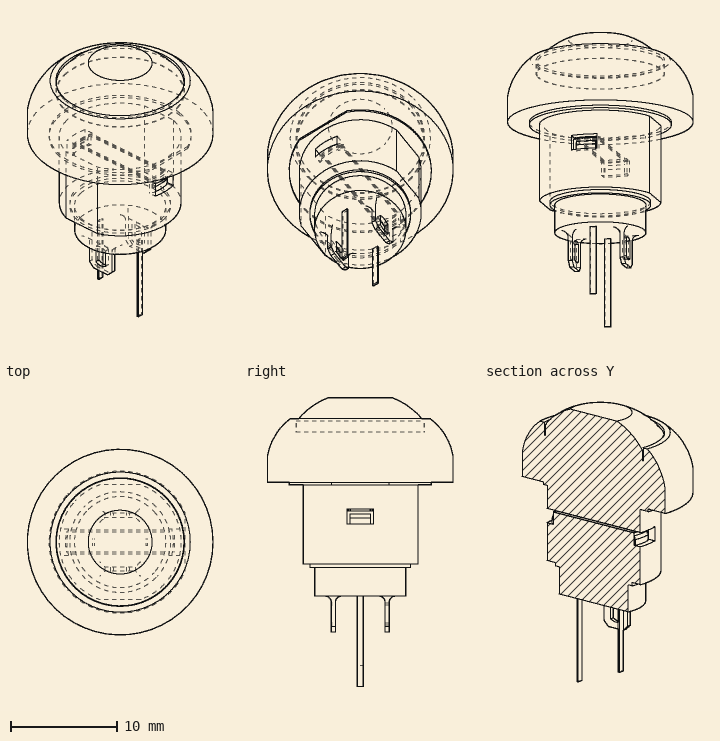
import cadquery as cq

long_pin_end_z = 0.0
short_pin_end_z = 2.0
lug_end_z = 5.15
lug_hole_z = 6.83
base_bottom_z = 8.52
step_bottom_z = 11.2
barrel_bottom_z = 11.55
gasket_bottom_z = 19.0
hood_bottom_z = 19.25
hood_shoulder_z = 21.7
hood_top_z = 25.22
button_top_z = 27.2

base_diameter = 8.6
step_diameter = 9.5
barrel_diameter = 11.48
gasket_diameter = 13.4
hood_diameter = 17.5
front_flat_y = -5.4
back_flat_y = 5.45
gasket_flat_x = 6.12

hood_rim_diameter = 13.2
hood_mid_radius = 8.05
hood_mid_z = 23.6
bore_diameter = 12.1
button_diameter = 12.0
button_flat_diameter = 6.0
button_mid_radius = 4.65
button_mid_z = 26.3
button_edge_z = 24.98
bore_floor_z = 23.95

window_width = 2.5
window_bottom_z = 15.32
window_top_z = 16.7
sleeve_diameter = 10.0
sleeve_top_z = 16.55
core_diameter = 9.5
latch_width = 1.9
latch_diameter = 10.29
latch_edge_z = 15.9
latch_top_z = 16.25
slit_width = 0.15

pin_offset_x = 2.5
pin_thickness = 0.15
pin_width = 0.6
lug_offset_y = 2.53
lug_width = 2.88
lug_thickness = 0.4
lug_chamfer_width = 0.55
lug_chamfer_height = 0.52
lug_hole_diameter = 2.1
lug_hole_width = 1.22
lug_fillet = 0.57
joint_margin = 0.03


def disc(diameter, bottom_z, top_z):
    """Solid cylinder on the Z axis."""
    return cq.Workplane("XY").workplane(offset=bottom_z).circle(diameter / 2).extrude(top_z - bottom_z)


def block(x_range, y_range, z_range):
    """Box spanning the given ranges."""
    ranges = (x_range, y_range, z_range)
    sizes = [high - low for low, high in ranges]
    middles = [(high + low) / 2 for low, high in ranges]
    return cq.Workplane("XY").box(*sizes).translate(tuple(middles))


def centred(width, middle=0.0):
    """Range of the given width about a middle value."""
    return (middle - width / 2, middle + width / 2)


def make_hood():
    """Domed hood with a bore that leaves a narrow gap around the button."""
    hood = (
        cq.Workplane("XZ")
        .moveTo(0, hood_bottom_z)
        .lineTo(hood_diameter / 2, hood_bottom_z)
        .lineTo(hood_diameter / 2, hood_shoulder_z)
        .threePointArc((hood_mid_radius, hood_mid_z), (hood_rim_diameter / 2, hood_top_z))
        .lineTo(0, hood_top_z)
        .close()
        .revolve(360, (0, 0, 0), (0, 1, 0))
    )
    return hood.cut(disc(bore_diameter, bore_floor_z, hood_top_z))


def make_button():
    """Domed push button with a flat top."""
    return (
        cq.Workplane("XZ")
        .moveTo(0, bore_floor_z)
        .lineTo(button_diameter / 2, bore_floor_z)
        .lineTo(button_diameter / 2, button_edge_z)
        .threePointArc((button_mid_radius, button_mid_z), (button_flat_diameter / 2, button_top_z))
        .lineTo(0, button_top_z)
        .close()
        .revolve(360, (0, 0, 0), (0, 1, 0))
    )


def make_gasket():
    """Thin gasket under the hood, flat on its +X side."""
    gasket = disc(gasket_diameter, gasket_bottom_z, hood_bottom_z)
    kept = block(
        (-gasket_diameter / 2, gasket_flat_x),
        centred(gasket_diameter),
        (gasket_bottom_z, hood_bottom_z),
    )
    return gasket.intersect(kept)


def make_latches():
    """Latch noses of both windows, each with a sloped lead-in on top."""
    nose_ring = (
        cq.Workplane("XZ")
        .moveTo(0, window_bottom_z)
        .lineTo(latch_diameter / 2, window_bottom_z)
        .lineTo(latch_diameter / 2, latch_edge_z)
        .lineTo(sleeve_diameter / 2, latch_top_z)
        .lineTo(0, latch_top_z)
        .close()
        .revolve(360, (0, 0, 0), (0, 1, 0))
    )
    span = block(centred(barrel_diameter), centred(latch_width), (window_bottom_z, latch_top_z))
    return nose_ring.intersect(span)


def make_barrel():
    """Flatted barrel with a latch window on each X side."""
    barrel = disc(barrel_diameter, barrel_bottom_z, gasket_bottom_z)
    barrel = barrel.intersect(
        block(
            centred(barrel_diameter),
            (front_flat_y, back_flat_y),
            (barrel_bottom_z, gasket_bottom_z),
        )
    )
    windows = block(centred(barrel_diameter), centred(window_width), (window_bottom_z, window_top_z))
    windows = windows.cut(disc(sleeve_diameter, window_bottom_z, sleeve_top_z))
    windows = windows.cut(disc(core_diameter, sleeve_top_z, window_top_z))
    barrel = barrel.cut(windows).union(make_latches())

    for side in (-1, 1):
        slit_middle = side * (latch_width + slit_width) / 2
        barrel = barrel.cut(
            block(centred(barrel_diameter), centred(slit_width, slit_middle), (sleeve_top_z, window_top_z))
        )
    return barrel


def make_base():
    """Base cylinder with both solder lugs, filleted where the lugs meet it."""
    base = disc(base_diameter, base_bottom_z, step_bottom_z)
    half_width = lug_width / 2
    for side in (-1, 1):
        lug = (
            cq.Workplane("XZ", origin=(0, side * lug_offset_y, 0))
            .moveTo(-half_width, base_bottom_z)
            .lineTo(-half_width, lug_end_z + lug_chamfer_height)
            .lineTo(-half_width + lug_chamfer_width, lug_end_z)
            .lineTo(half_width - lug_chamfer_width, lug_end_z)
            .lineTo(half_width, lug_end_z + lug_chamfer_height)
            .lineTo(half_width, base_bottom_z)
            .close()
            .extrude(lug_thickness / 2, both=True)
        )
        base = base.union(lug)
    lug_joints = cq.selectors.BoxSelector(
        (-half_width - joint_margin, -lug_offset_y - lug_thickness, base_bottom_z - joint_margin),
        (half_width + joint_margin, lug_offset_y + lug_thickness, base_bottom_z + joint_margin),
    )
    base = base.edges(lug_joints).edges("not %CIRCLE").fillet(lug_fillet)

    eye_height = centred(lug_hole_diameter, lug_hole_z)
    eyes = (
        cq.Workplane("XZ", origin=(0, 0, lug_hole_z))
        .circle(lug_hole_diameter / 2)
        .extrude(base_diameter / 2, both=True)
        .intersect(block(centred(lug_hole_width), centred(base_diameter), eye_height))
    )
    return base.cut(eyes)


def make_pin(middle_x, end_z):
    """Flat contact pin below the base."""
    return block(centred(pin_thickness, middle_x), centred(pin_width), (end_z, base_bottom_z))


result = (
    make_base()
    .union(disc(step_diameter, step_bottom_z, barrel_bottom_z))
    .union(make_barrel())
    .union(make_gasket())
    .union(make_hood())
    .union(make_button())
    .union(make_pin(-pin_offset_x, short_pin_end_z))
    .union(make_pin(pin_offset_x, long_pin_end_z))
)